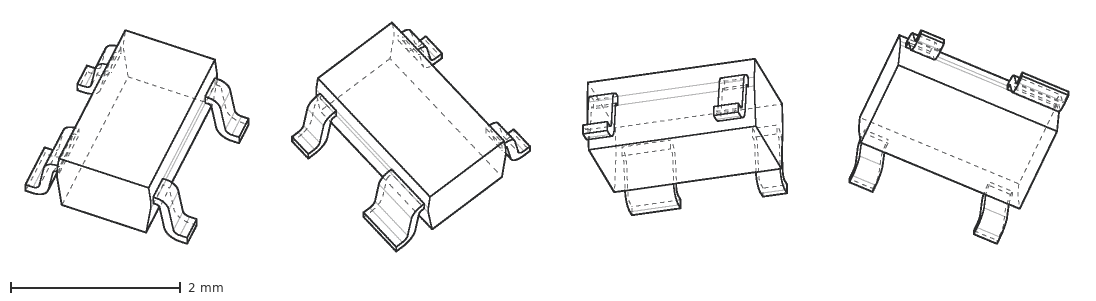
import cadquery as cq
import math

overall_width = 2.06
overall_height = 0.95
body_length = 2.05

body_standoff = 0.06
waist_half_width = 0.597
top_half_width = 0.57
bottom_half_width = 0.538

lead_thickness = 0.12
lead_top = 0.692
lead_bottom = lead_top - lead_thickness
shoulder_start = 0.637
foot_start = 0.935
shoulder_inner_radius = 0.041
foot_inner_radius = 0.082
lead_embed = 0.103
lead_width = 0.299
wide_lead_width = 2 * lead_width
lead_outer_edge = 0.952


def make_body():
    half_outline = [
        (bottom_half_width, body_standoff),
        (waist_half_width, lead_bottom),
        (waist_half_width, lead_top),
        (top_half_width, overall_height),
    ]
    mirrored = [(-x, z) for x, z in reversed(half_outline)]
    outline = cq.Workplane("XZ").polyline(half_outline + mirrored).close()
    return outline.extrude(body_length / 2, both=True)


def make_lead(side, y_min, width):
    """S-shaped lead on the +X (side=1) or -X (side=-1) face of the body."""
    shoulder_outer_radius = shoulder_inner_radius + lead_thickness
    foot_outer_radius = foot_inner_radius + lead_thickness
    shoulder_z = lead_top - shoulder_outer_radius
    foot_z = foot_outer_radius

    run = foot_start - shoulder_start
    drop = shoulder_z - foot_z
    radius_sum = shoulder_outer_radius + foot_inner_radius
    lean = math.atan2(run, drop) - math.asin(radius_sum / math.hypot(run, drop))

    def on_shoulder(radius, angle):
        return (
            side * (shoulder_start + radius * math.cos(angle)),
            shoulder_z + radius * math.sin(angle),
        )

    def on_foot(radius, angle):
        return (
            side * (foot_start - radius * math.cos(angle)),
            foot_z - radius * math.sin(angle),
        )

    middle = (lean + math.pi / 2) / 2
    root_x = side * (waist_half_width - lead_embed)
    tip_x = side * overall_width / 2
    profile = (
        cq.Workplane("XZ", origin=(0, y_min, 0))
        .moveTo(root_x, lead_top)
        .lineTo(side * shoulder_start, lead_top)
        .threePointArc(
            on_shoulder(shoulder_outer_radius, middle),
            on_shoulder(shoulder_outer_radius, lean),
        )
        .lineTo(*on_foot(foot_inner_radius, lean))
        .threePointArc(
            on_foot(foot_inner_radius, middle),
            (side * foot_start, lead_thickness),
        )
        .lineTo(tip_x, lead_thickness)
        .lineTo(tip_x, 0)
        .lineTo(side * foot_start, 0)
        .threePointArc(
            on_foot(foot_outer_radius, middle),
            on_foot(foot_outer_radius, lean),
        )
        .lineTo(*on_shoulder(shoulder_inner_radius, lean))
        .threePointArc(
            on_shoulder(shoulder_inner_radius, middle),
            (side * shoulder_start, lead_bottom),
        )
        .lineTo(root_x, lead_bottom)
        .close()
    )
    return profile.extrude(-width)


leads = [
    (-1, lead_outer_edge - lead_width, lead_width),
    (1, lead_outer_edge - lead_width, lead_width),
    (-1, -lead_outer_edge, wide_lead_width),
    (1, -lead_outer_edge, lead_width),
]

result = make_body()
for side, y_min, width in leads:
    result = result.union(make_lead(side, y_min, width))